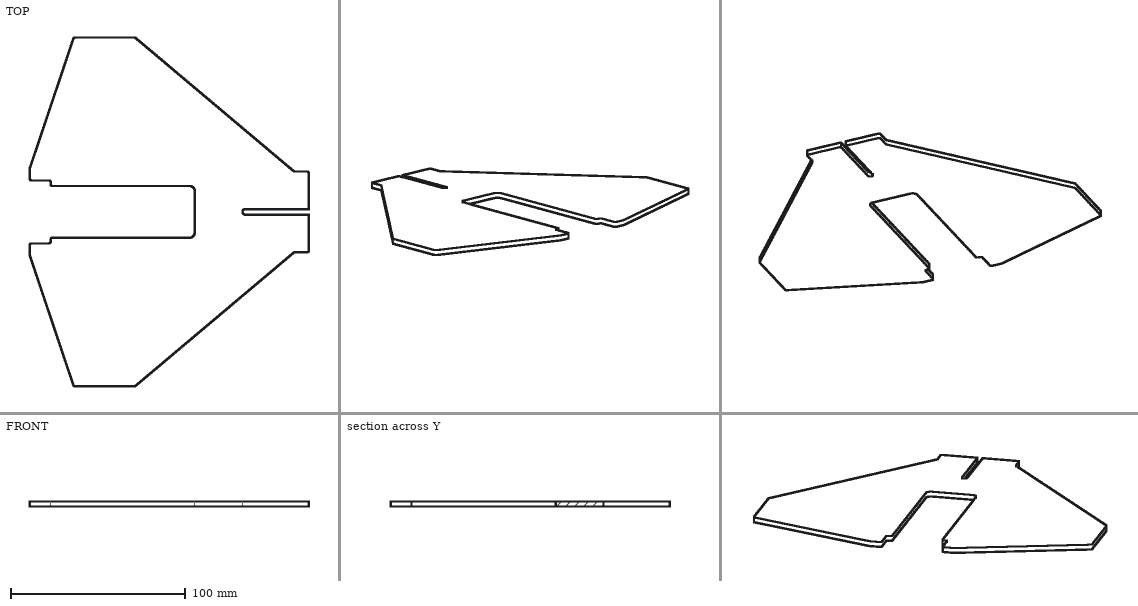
import cadquery as cq

length = 160.0
width = 200.0
thickness = 3.0

rear_edge_half_width = 25.0
wing_tip_rear_x = 25.2
wing_tip_front_x = 60.5
tab_length = 8.5
tab_half_width = 23.2

window_depth = 94.5
window_width = 29.5
window_corner_radius = 3.0
mouth_depth = 12.0
mouth_width = 36.0

corner_radius = 1.0

slot_depth = 38.0
slot_width = thickness


def rear_cut(depth, cut_width):
    """Rectangular through cut running forward from the rear edge."""
    return cq.Workplane("XY").box(depth, cut_width, thickness, centered=(False, True, False))


def make_plate():
    tab_x = length - tab_length
    half_outline = [
        (0, rear_edge_half_width),
        (wing_tip_rear_x, width / 2),
        (wing_tip_front_x, width / 2),
        (tab_x, tab_half_width),
        (length, tab_half_width),
    ]
    mirrored_outline = [(x, -y) for x, y in reversed(half_outline)]
    return cq.Workplane("XY").polyline(half_outline + mirrored_outline).close().extrude(thickness)


def make_window():
    return rear_cut(window_depth, window_width).edges("|Z and >X").fillet(window_corner_radius)


def make_slot():
    end_radius = slot_width / 2
    end_center_x = length - slot_depth + end_radius
    return (
        cq.Workplane("XY")
        .moveTo(length, end_radius)
        .lineTo(end_center_x, end_radius)
        .threePointArc((length - slot_depth, 0), (end_center_x, -end_radius))
        .lineTo(length, -end_radius)
        .close()
        .extrude(thickness)
    )


sharp_plate = make_plate().cut(rear_cut(mouth_depth, mouth_width)).cut(make_window())
window_corners = cq.selectors.BoxSelector(
    (window_depth - 2 * window_corner_radius, -window_width, 0),
    (window_depth + window_corner_radius, window_width, thickness),
)
sharp_corners = cq.selectors.StringSyntaxSelector("|Z") - window_corners
rounded_plate = sharp_plate.edges(sharp_corners).fillet(corner_radius)

result = rounded_plate.cut(make_slot())